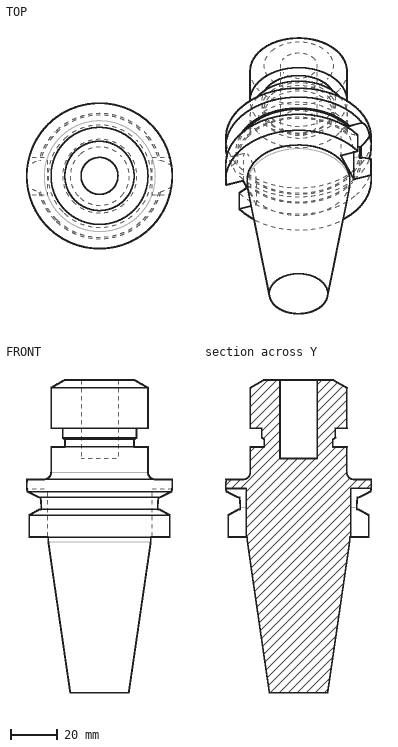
import cadquery as cq
import math


gauge_radius = 44.45 / 2
taper_length = 65.4
taper_ratio = 7 / 24
tail_radius = gauge_radius - taper_length * taper_ratio / 2

flange_radius = 63.0 / 2
flange_bottom_z = 2.0
flange_top_z = 27.0
groove_center_z = 16.6
groove_floor_radius = 53.0 / 2
groove_ledge_radius = 54.4 / 2
groove_floor_width = 5.2
groove_flank_angle = 30.0
groove_flank_depth = flange_radius - groove_ledge_radius
floor_half_width = groove_floor_width / 2
mouth_half_width = floor_half_width + groove_flank_depth * math.tan(math.radians(groove_flank_angle))

slot_width = 16.1
slot_top_z = 23.0
slot_floor_distance = 22.6
slot_radius = slot_width / 2
slot_arc_center_z = slot_top_z - slot_radius

collar_radius = 42.0 / 2
collar_top_z = 41.0
collar_fillet = 3.0

relief_radius = 30.0 / 2
relief_top_z = 44.2
thread_radius = 32.0 / 2
thread_chamfer_height = 0.7

nut_radius = 42.0 / 2
nut_bottom_z = 49.0
nut_top_z = 70.0
nut_face_radius = 30.0 / 2
nut_bevel_height = 3.4

bore_radius = 16.0 / 2
bore_depth = 34.0


def make_body():
    """Revolve the half profile of the shank, flange, collar, nose and nut."""
    fillet_center = (collar_radius + collar_fillet, flange_top_z + collar_fillet)
    fillet_reach = collar_fillet * math.cos(math.radians(45))
    fillet_middle = (fillet_center[0] - fillet_reach, fillet_center[1] - fillet_reach)
    profile = (
        cq.Workplane("XZ")
        .moveTo(0, -taper_length)
        .lineTo(tail_radius, -taper_length)
        .lineTo(gauge_radius, 0)
        .lineTo(gauge_radius, flange_bottom_z)
        .lineTo(flange_radius, flange_bottom_z)
        .lineTo(flange_radius, groove_center_z - mouth_half_width)
        .lineTo(groove_ledge_radius, groove_center_z - floor_half_width)
        .lineTo(groove_floor_radius, groove_center_z - floor_half_width)
        .lineTo(groove_floor_radius, groove_center_z + floor_half_width)
        .lineTo(groove_ledge_radius, groove_center_z + floor_half_width)
        .lineTo(flange_radius, groove_center_z + mouth_half_width)
        .lineTo(flange_radius, flange_top_z)
        .lineTo(fillet_center[0], flange_top_z)
        .threePointArc(fillet_middle, (collar_radius, fillet_center[1]))
        .lineTo(collar_radius, collar_top_z)
        .lineTo(relief_radius, collar_top_z)
        .lineTo(relief_radius, relief_top_z)
        .lineTo(thread_radius, relief_top_z + thread_chamfer_height)
        .lineTo(thread_radius, nut_bottom_z)
        .lineTo(nut_radius, nut_bottom_z)
        .lineTo(nut_radius, nut_top_z - nut_bevel_height)
        .lineTo(nut_face_radius, nut_top_z)
        .lineTo(0, nut_top_z)
        .close()
    )
    return profile.revolve(360, (0, 0, 0), (0, 1, 0))


def make_drive_slot(side):
    """Round-topped slot cutter, open at the flange underside; side is +1 or -1."""
    return (
        cq.Workplane("YZ")
        .workplane(offset=side * slot_floor_distance)
        .moveTo(-slot_radius, flange_bottom_z)
        .lineTo(slot_radius, flange_bottom_z)
        .lineTo(slot_radius, slot_arc_center_z)
        .threePointArc((0, slot_top_z), (-slot_radius, slot_arc_center_z))
        .close()
        .extrude(side * flange_radius)
    )


def make_bore():
    """Blind cylinder sunk into the nut face."""
    return cq.Workplane("XY").workplane(offset=nut_top_z).circle(bore_radius).extrude(-bore_depth)


result = make_body().cut(make_bore())
for side in (1, -1):
    result = result.cut(make_drive_slot(side))